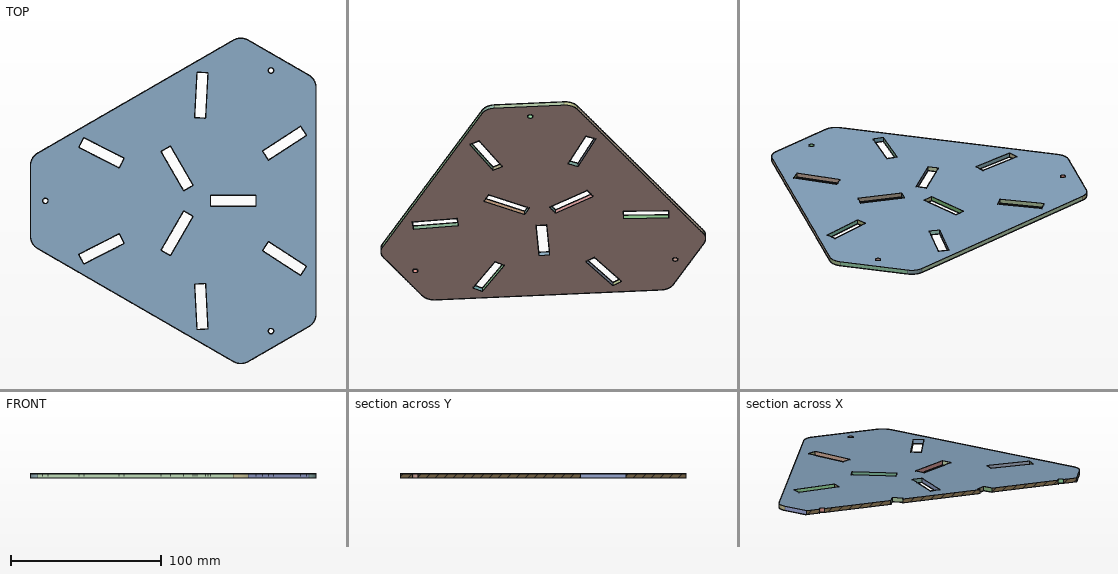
import cadquery as cq
import math


overall_width = 216.3
thickness = 3.0
corner_radius = 10.0
long_side_distance = 80.0

hole_diameter = 3.5
hole_circle_radius = 100.0

slot_length = 30.0
slot_width = 7.1
inner_slot_circle_radius = 24.9
outer_slot_circle_radius = 70.3
outer_slot_spread = 27.0

long_side_directions = [0, 120, 240]
tip_directions = [60, 180, 300]

rounding_loss = corner_radius * (1 / math.cos(math.radians(30)) - 1)
sharp_corner_y = overall_width / 2 + rounding_loss
overall_depth = sharp_corner_y * 2 * math.cos(math.radians(30))
short_side_distance = overall_depth - long_side_distance


def polar_point(radius, angle):
    radians = math.radians(angle)
    return (radius * math.cos(radians), radius * math.sin(radians))


def make_plate():
    sharp_corner_x = short_side_distance - long_side_distance
    corner_distance = math.hypot(sharp_corner_x, sharp_corner_y)
    corner_angle = math.degrees(math.atan2(sharp_corner_y, sharp_corner_x))
    half_tip_angle = corner_angle - tip_directions[0]
    corners = []
    for direction in tip_directions:
        corners.append(polar_point(corner_distance, direction - half_tip_angle))
        corners.append(polar_point(corner_distance, direction + half_tip_angle))
    plate = cq.Workplane("XY").polyline(corners).close().extrude(thickness)
    return plate.edges("|Z").fillet(corner_radius)


def cut_radial_slot(plate, circle_radius, direction):
    slot = (
        cq.Workplane("XY")
        .center(circle_radius, 0)
        .rect(slot_length, slot_width)
        .extrude(thickness)
        .rotate((0, 0, 0), (0, 0, 1), direction)
    )
    return plate.cut(slot)


def cut_tip_holes(plate):
    centres = [polar_point(hole_circle_radius, direction) for direction in tip_directions]
    holes = cq.Workplane("XY").pushPoints(centres).circle(hole_diameter / 2).extrude(thickness)
    return plate.cut(holes)


result = cut_tip_holes(make_plate())

for direction in long_side_directions:
    result = cut_radial_slot(result, inner_slot_circle_radius, direction)

for direction in tip_directions:
    for offset in (-outer_slot_spread, outer_slot_spread):
        result = cut_radial_slot(result, outer_slot_circle_radius, direction + offset)